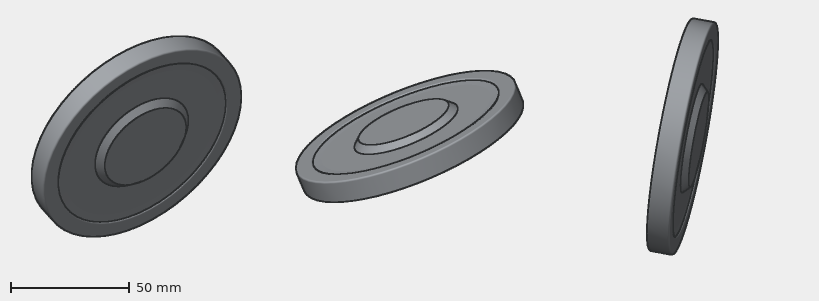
import cadquery as cq

outer_radius = 50.0
rim_half_width = 5.0
edge_round = 0.8
bore_radius = 42.2

web_flat_radius = 38.5
web_half_width = 4.1
web_edge_rise = 0.2

hub_half_width = 7.0
hub_top_radius = 20.5
hub_base_radius = 23.5


def make_rim():
    """Ring around the X axis with all four circular edges rounded."""
    ring = (
        cq.Workplane("YZ")
        .workplane(offset=-rim_half_width)
        .circle(outer_radius)
        .circle(bore_radius)
        .extrude(2 * rim_half_width)
    )
    return ring.faces("<X or >X").edges().fillet(edge_round)


def make_wheel():
    """Web and hub as one turned solid, symmetric about the plane X = 0."""
    web_edge_half_width = web_half_width + web_edge_rise
    side_points = [
        (hub_half_width, 0),
        (hub_half_width, hub_top_radius),
        (web_half_width, hub_base_radius),
        (web_half_width, web_flat_radius),
        (web_edge_half_width, bore_radius),
    ]
    mirrored_points = [(-x, radius) for x, radius in reversed(side_points)]
    profile = cq.Workplane("XY").polyline(side_points + mirrored_points).close()
    return profile.revolve(360, (0, 0, 0), (1, 0, 0))


rim = make_rim()
wheel = make_wheel()

result = cq.Compound.makeCompound([rim.val(), wheel.val()])